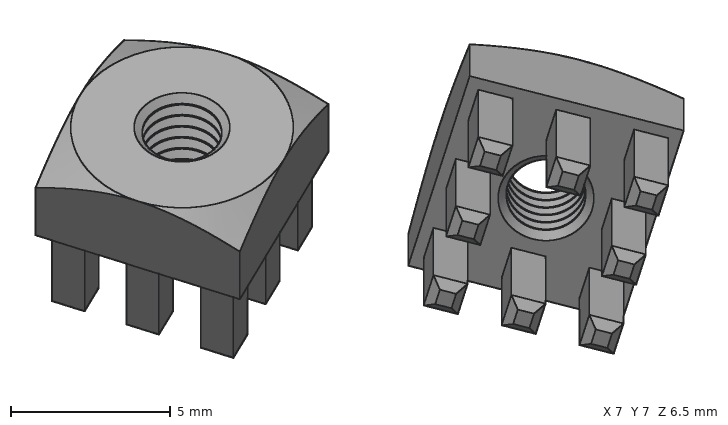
import cadquery as cq
import math

body_side = 7.0
body_height = 3.0
chamfer_angle = 30.0

minor_diameter = 2.5
major_diameter = 3.01
groove_count = 6
crest_width = 0.06

pin_length = 3.5
pin_width = 1.12
pin_spacing = 2.55
tip_chamfer = 0.295


def make_body():
    """Square block trimmed by a cone that touches the middle of each top edge."""
    block = cq.Workplane("XY").box(body_side, body_side, body_height, centered=(True, True, False))
    flat_radius = body_side / 2
    cone_radius = body_side
    cone_drop = (cone_radius - flat_radius) * math.tan(math.radians(chamfer_angle))
    envelope = (
        cq.Workplane("XZ")
        .moveTo(0, body_height)
        .lineTo(flat_radius, body_height)
        .lineTo(cone_radius, body_height - cone_drop)
        .lineTo(cone_radius, -body_height)
        .lineTo(0, -body_height)
        .close()
        .revolve(360, (0, 0), (0, 1))
    )
    return block.intersect(envelope)


def make_threaded_bore():
    """Bore with V-grooves; a half groove flares out at each end face."""
    minor_radius = minor_diameter / 2
    major_radius = major_diameter / 2
    pitch = body_height / groove_count
    outline = cq.Workplane("XZ").moveTo(0, 0).lineTo(major_radius, 0)
    for index in range(groove_count):
        crest_middle = (index + 0.5) * pitch
        outline = (
            outline
            .lineTo(minor_radius, crest_middle - crest_width / 2)
            .lineTo(minor_radius, crest_middle + crest_width / 2)
            .lineTo(major_radius, (index + 1) * pitch)
        )
    return outline.lineTo(0, body_height).close().revolve(360, (0, 0), (0, 1))


def make_pins():
    """Eight square pins with chamfered tips."""
    grid = (-pin_spacing, 0, pin_spacing)
    positions = [(x, y) for x in grid for y in grid if (x, y) != (0, 0)]
    return (
        cq.Workplane("XY")
        .pushPoints(positions)
        .rect(pin_width, pin_width)
        .extrude(-pin_length)
        .faces("<Z")
        .chamfer(tip_chamfer)
    )


result = make_body().cut(make_threaded_bore()).union(make_pins())